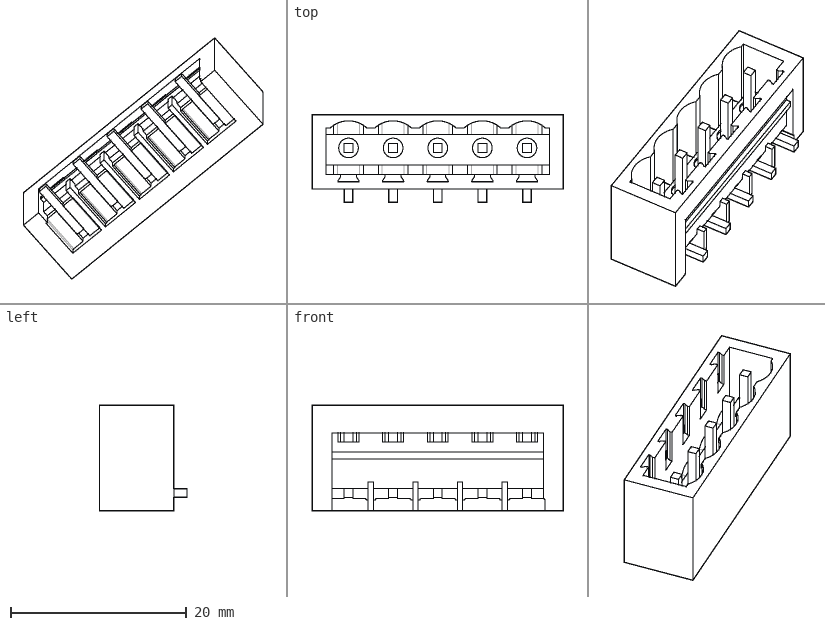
import cadquery as cq
import math


length = 28.6
depth = 8.5
height = 12.0

pin_count = 5
pin_side = 1.0
pin_axis_y = 4.7
pin_tip_z = 11.0
tail_bottom_z = 1.52
tail_overhang = 1.52
tail_top_z = tail_bottom_z + pin_side
pin_back_y = pin_axis_y + pin_side / 2

cavity_length = 25.4
cavity_front_y = 1.65
cavity_back_y = 6.98
floor_z = 3.0
scallop_radius = 3.1
pitch = cavity_length / pin_count
pin_xs = [(i - (pin_count - 1) / 2) * pitch for i in range(pin_count)]
divider_xs = [(i - pin_count / 2) * pitch for i in range(1, pin_count)]

hump_half_width = 1.7
hump_arc_half_width = 1.25
hump_flank_angle = math.radians(58)
platform_front_y = 2.77
platform_back_y = 6.2
platform_z = 5.0
collar_radius = 1.12
collar_depth = 0.3

recess_length = 24.05
recess_depth = 0.9
recess_top_z = 8.87
wall_bottom_z = tail_top_z
bar_bottom_z = 5.92
bar_top_z = 6.7
bar_front_y = 0.35

slot_mouth_width = 1.8
slot_wide_width = 2.37
slot_neck_depth = 0.25
slot_flare_depth = 0.7
slot_depth = 0.85
slot_floor_z = 7.85

base_face_y = 1.52
base_back_y = 6.2
web_bottom_z = 1.2
bay_top_z = 1.37
bay_half_width = 2.03
bay_corner = 0.15
rib_width = 0.6
rib_top_z = 3.25


def box(x0, x1, y0, y1, z0, z1):
    """Box between two opposite corners."""
    size = (x1 - x0, y1 - y0, z1 - z0)
    return cq.Workplane("XY").box(*size, centered=False).translate((x0, y0, z0))


def centred_box(x, width, y0, y1, z0, z1):
    """Box whose width is centred on x."""
    return box(x - width / 2, x + width / 2, y0, y1, z0, z1)


def make_hump(x):
    """Floor hump along Y: straight flanks, tangent to a round crest."""
    crest_radius = hump_arc_half_width / math.sin(hump_flank_angle)
    flank_height = (hump_half_width - hump_arc_half_width) * math.tan(hump_flank_angle)
    crest_height = flank_height + crest_radius * (1 - math.cos(hump_flank_angle))
    profile = (
        cq.Workplane("XZ", origin=(x, cavity_front_y, floor_z))
        .moveTo(-hump_half_width, 0)
        .lineTo(-hump_arc_half_width, flank_height)
        .threePointArc((0, crest_height), (hump_arc_half_width, flank_height))
        .lineTo(hump_half_width, 0)
        .close()
    )
    return profile.extrude(-(depth - cavity_front_y))


def make_cavity():
    """Mating cavity with its humps and platform left standing."""
    cavity = centred_box(0, cavity_length, cavity_front_y, cavity_back_y, floor_z, height)
    for x in pin_xs:
        scallop = (
            cq.Workplane("XY", origin=(x, pin_axis_y, floor_z))
            .circle(scallop_radius)
            .extrude(height - floor_z)
        )
        back_half = centred_box(x, pitch, pin_axis_y, depth, floor_z, height)
        cavity = cavity.union(scallop.intersect(back_half))
    for x in pin_xs:
        cavity = cavity.cut(make_hump(x))
    platform = centred_box(0, cavity_length, platform_front_y, platform_back_y, floor_z, platform_z)
    return cavity.cut(platform)


def make_dovetail_slot(x):
    """Slot down the inner face of the front wall, wider at its bottom than at its mouth."""
    mouth = slot_mouth_width / 2
    wide = slot_wide_width / 2
    outline = [
        (-mouth, 0),
        (-mouth, -slot_neck_depth),
        (-wide, -slot_flare_depth),
        (-wide, -slot_depth),
        (wide, -slot_depth),
        (wide, -slot_flare_depth),
        (mouth, -slot_neck_depth),
        (mouth, 0),
    ]
    plane = cq.Workplane("XY", origin=(x, cavity_front_y, slot_floor_z))
    return plane.polyline(outline).close().extrude(height - slot_floor_z)


def make_front_recess():
    """Recess between the legs, deeper below the front wall, with the bar left standing."""
    recess = centred_box(0, recess_length, 0, recess_depth, 0, recess_top_z)
    under_wall = centred_box(0, recess_length, 0, base_face_y, 0, wall_bottom_z)
    bar = centred_box(0, recess_length, bar_front_y, recess_depth, bar_bottom_z, bar_top_z)
    return recess.union(under_wall).cut(bar)


def make_bay(x, front_y):
    """Hollow under one pin, with rounded upper corners."""
    bay = centred_box(x, 2 * bay_half_width, front_y, base_back_y, 0, bay_top_z)
    return bay.edges("|Y and >Z").fillet(bay_corner)


def make_rib(x):
    """Rib standing on the foot plane, from the front face to the back of the hollow base."""
    front_part = centred_box(x, rib_width, 0, base_face_y, 0, rib_top_z)
    rear_part = centred_box(x, rib_width, base_face_y, base_back_y, 0, web_bottom_z)
    return front_part.union(rear_part)


def make_pin_seat(x):
    """Square hole for the pin, round recess at its top and a channel for its tail, open below."""
    hole = centred_box(
        x, pin_side, pin_axis_y - pin_side / 2, pin_back_y, tail_bottom_z, platform_z
    )
    channel = centred_box(x, pin_side, base_face_y, base_back_y, web_bottom_z, tail_top_z)
    collar = (
        cq.Workplane("XY", origin=(x, pin_axis_y, platform_z - collar_depth))
        .circle(collar_radius)
        .extrude(collar_depth)
    )
    return hole.union(channel).union(collar)


def make_housing():
    """Shrouded housing, one solid."""
    body = centred_box(0, length, 0, depth, 0, height)
    body = body.cut(make_cavity())
    body = body.cut(make_front_recess())
    body = body.cut(centred_box(0, recess_length, base_face_y, base_back_y, 0, web_bottom_z))
    for x in pin_xs:
        bay_front_y = 0 if x == pin_xs[-1] else base_face_y
        body = body.cut(make_bay(x, bay_front_y))
        body = body.cut(make_dovetail_slot(x))
    for x in divider_xs:
        body = body.union(make_rib(x))
    for x in pin_xs:
        body = body.cut(make_pin_seat(x))
    return body


def make_pin(x):
    """Right-angle pin: square post with a tail running out of the front."""
    post = centred_box(
        x, pin_side, pin_axis_y - pin_side / 2, pin_back_y, tail_bottom_z, pin_tip_z
    )
    tail = centred_box(x, pin_side, -tail_overhang, pin_back_y, tail_bottom_z, tail_top_z)
    return post.union(tail)


housing = make_housing()
pins = [make_pin(x) for x in pin_xs]

result = cq.Compound.makeCompound([housing.val(), *[pin.val() for pin in pins]])